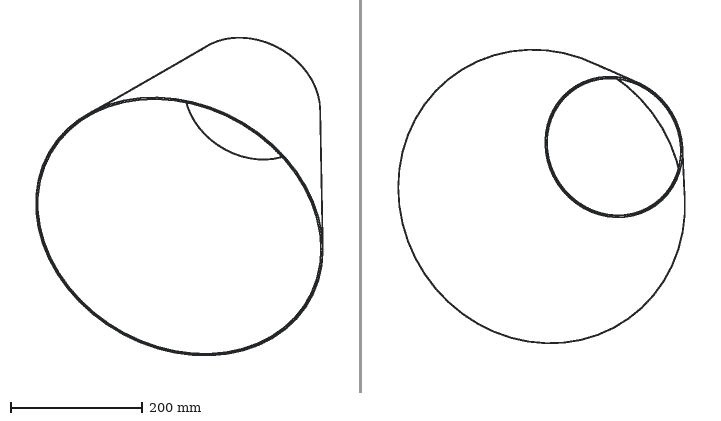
import cadquery as cq

large_diameter = 457.0
small_diameter = 219.0
length = 381.0
wall = 3.0

large_radius = large_diameter / 2
small_radius = small_diameter / 2

wall_section = (
    cq.Workplane("XY")
    .moveTo(large_radius - wall, 0)
    .lineTo(large_radius, 0)
    .lineTo(small_radius, length)
    .lineTo(small_radius - wall, length)
    .close()
)

result = wall_section.revolve(360, (0, 0, 0), (0, 1, 0))